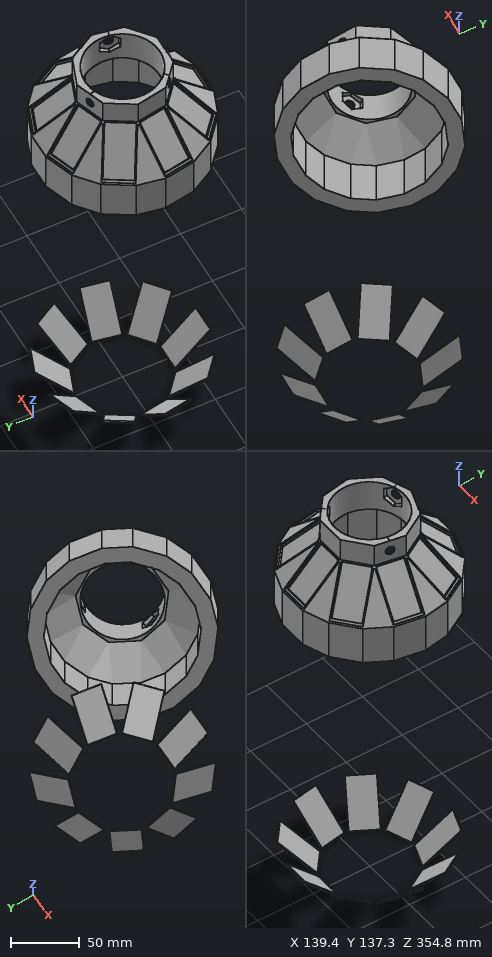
import cadquery as cq
import math

SIDES = 9
STEP = 360 / SIDES
FIRST_SIDE = -90
TOTAL_HEIGHT = 354.8

NECK_RADIUS = 37.43
SKIRT_RADIUS = 69.72
NECK_HEIGHT = 20.0
SHOULDER_HEIGHT = 32.5
SKIRT_HEIGHT = 34.0

BORE_DIAMETER = 61.5
BORE_DEPTH = 27.3
CAVITY_TOP_RADIUS = 69.0 / 2
CAVITY_RADIUS = 114.5 / 2
CAVITY_WALL_DEPTH = 48.3

SCREW_DIAMETER = 7
SCREW_DEPTH = NECK_HEIGHT / 2
SCREW_COUNT = 3
FIRST_SCREW = -130
NUT_WIDTH = 16.0
NUT_FLOOR_RADIUS = 33.7
HEXAGON = 6

PANEL_WIDTH = 23.5
PANEL_LENGTH = 40.8
PANEL_THICKNESS = 1.5
PANEL_TOP_RADIUS = 67.0

RECESS_START = 1.5
RECESS_LENGTH = 43.0
RECESS_WIDTH = 25.2
RECESS_DEPTH = 0.7
SEAT_START = 3.5
SEAT_LENGTH = 42.0
SEAT_WIDTH = 23.0
SEAT_DEPTH = 2.5

neck_base = TOTAL_HEIGHT - NECK_HEIGHT
skirt_top = neck_base - SHOULDER_HEIGHT
skirt_base = skirt_top - SKIRT_HEIGHT
strip_width = 2 * NECK_RADIUS * math.sin(math.radians(STEP / 2))
wide_angle = 2 * math.degrees(math.asin(strip_width / 2 / SKIRT_RADIUS))
neck_apothem = NECK_RADIUS * math.cos(math.radians(STEP / 2))
skirt_apothem = SKIRT_RADIUS * math.cos(math.radians(wide_angle / 2))
slope = math.degrees(math.atan2(SHOULDER_HEIGHT, skirt_apothem - neck_apothem))


def ring_points(radius, spread, z):
    """Two corners per side, spread apart by an angle about the middle of each side."""
    points = []
    for side in range(SIDES):
        for offset in (-spread / 2, spread / 2):
            angle = math.radians(FIRST_SIDE + side * STEP + offset)
            points.append(cq.Vector(radius * math.cos(angle), radius * math.sin(angle), z))
    return points


def face(points):
    return cq.Face.makeFromWires(cq.Wire.makePolygon(points, close=True))


def prism(corners, height):
    return cq.Workplane(obj=cq.Solid.extrudeLinear(face(corners), cq.Vector(0, 0, height)))


def shoulder(top_radius, top_z, bottom_radius, bottom_z):
    """A nine-sided top flaring to eighteen sides: a flat below each side, a triangle at each corner."""
    top = ring_points(top_radius, STEP, top_z)
    bottom = ring_points(bottom_radius, wide_angle, bottom_z)
    faces = [face(top[::2]), face(bottom)]
    for i in range(0, 2 * SIDES, 2):
        following = (i + 2) % (2 * SIDES)
        faces.append(face([top[i], top[following], bottom[i + 1], bottom[i]]))
        faces.append(face([top[following], bottom[following], bottom[i + 1]]))
    solid = cq.Solid.makeSolid(cq.Shell.makeShell(faces))
    return cq.Workplane(obj=solid.fix())


def outer_form():
    neck = prism(ring_points(NECK_RADIUS, STEP, neck_base)[::2], NECK_HEIGHT)
    skirt = prism(ring_points(SKIRT_RADIUS, wide_angle, skirt_base), SKIRT_HEIGHT)
    flare = shoulder(NECK_RADIUS, neck_base, SKIRT_RADIUS, skirt_top)
    return neck.union(flare).union(skirt)


def cavity():
    wall_top = TOTAL_HEIGHT - CAVITY_WALL_DEPTH
    flare = shoulder(CAVITY_TOP_RADIUS, TOTAL_HEIGHT - BORE_DEPTH, CAVITY_RADIUS, wall_top)
    return prism(ring_points(CAVITY_RADIUS, wide_angle, skirt_base), wall_top - skirt_base).union(flare)


def bore():
    return (
        cq.Workplane("XY", origin=(0, 0, TOTAL_HEIGHT - BORE_DEPTH))
        .circle(BORE_DIAMETER / 2)
        .extrude(BORE_DEPTH)
    )


def screw_hole(angle):
    """A screw hole through the neck wall with a hexagonal nut pocket on the bore side."""
    middle = cq.Workplane("YZ", origin=(0, 0, TOTAL_HEIGHT - SCREW_DEPTH))
    hole = middle.circle(SCREW_DIAMETER / 2).extrude(NECK_RADIUS)
    nut_pocket = middle.polygon(HEXAGON, NUT_WIDTH, circumscribed=True).extrude(NUT_FLOOR_RADIUS)
    return hole.union(nut_pocket).rotate((0, 0, 0), (0, 0, 1), angle)


def sloping_slab(start, length, width, thickness):
    """A slab sunk into a flat of the shoulder, starting a distance up the slope from the skirt."""
    return (
        cq.Workplane("XY")
        .box(length, width, thickness, centered=(False, True, False))
        .translate((-start - length, 0, -thickness))
        .rotate((0, 0, 0), (0, 1, 0), slope)
        .translate((skirt_apothem, 0, skirt_top))
    )


def recess(angle):
    """A wide shallow recess in a flat of the shoulder, stepping down to a panel seat."""
    rim = sloping_slab(RECESS_START, RECESS_LENGTH, RECESS_WIDTH, RECESS_DEPTH)
    seat = sloping_slab(SEAT_START, SEAT_LENGTH, SEAT_WIDTH, SEAT_DEPTH)
    return rim.union(seat).rotate((0, 0, 0), (0, 0, 1), angle)


def panel(angle):
    """A flat panel leaning outward, its lower face's upper edge at PANEL_TOP_RADIUS."""
    blank = (
        cq.Workplane("XY")
        .box(PANEL_LENGTH, PANEL_WIDTH, PANEL_THICKNESS, centered=(False, True, False))
        .translate((-PANEL_LENGTH, 0, 0))
        .rotate((0, 0, 0), (0, 1, 0), -slope)
        .translate((PANEL_TOP_RADIUS, 0, PANEL_LENGTH * math.sin(math.radians(slope))))
    )
    return blank.rotate((0, 0, 0), (0, 0, 1), angle)


side_angles = [FIRST_SIDE + side * STEP for side in range(SIDES)]

housing = outer_form().cut(cavity()).cut(bore())
for screw in range(SCREW_COUNT):
    housing = housing.cut(screw_hole(FIRST_SCREW + screw * 360 / SCREW_COUNT))
for side_angle in side_angles:
    housing = housing.cut(recess(side_angle))

panels = [panel(side_angle).val() for side_angle in side_angles]

result = cq.Compound.makeCompound([housing.val(), *panels])